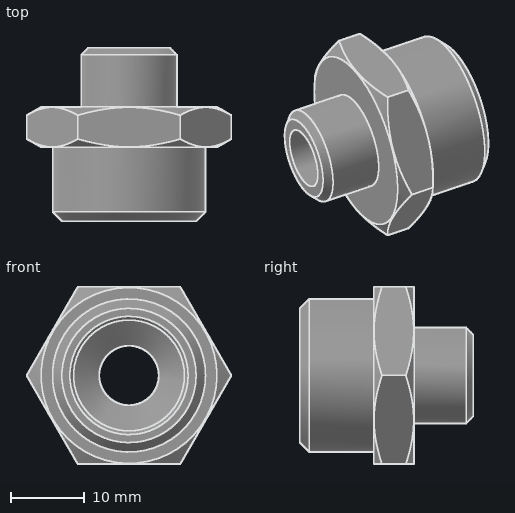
import cadquery as cq
import math

hex_corners = 27.7
hex_flats = hex_corners * math.cos(math.radians(30))
hex_thickness = 5.5
hex_chamfer_angle = 30.0
hex_face_diameter = 23.78

large_diameter = 20.7
large_length = 10.0
large_chamfer = 1.27

small_diameter = 13.0
small_length = 8.0
small_chamfer = 1.0

bore_diameter = 15.0
bore_depth = 12.0
bore_mouth_chamfer = 0.5
through_diameter = 8.0
bore_tip_angle = 118.0

hex_start = large_length
hex_end = hex_start + hex_thickness
total_length = hex_end + small_length


def revolve_about_y(points):
    """Revolve a closed (radius, y) profile around the Y axis."""
    profile = cq.Workplane("XY").polyline(points).close()
    return profile.revolve(360, (0, 0, 0), (0, 1, 0))


def make_hexagon():
    """Hexagon with corners on X and conical chamfers on both faces."""
    prism = (
        cq.Workplane("XZ", origin=(0, hex_end, 0))
        .polygon(6, hex_corners)
        .extrude(hex_thickness)
    )
    face_radius = hex_face_diameter / 2
    corner_radius = hex_corners / 2
    drop = (corner_radius - face_radius) * math.tan(math.radians(hex_chamfer_angle))
    envelope = revolve_about_y([
        (0, hex_start),
        (face_radius, hex_start),
        (corner_radius, hex_start + drop),
        (corner_radius, hex_end - drop),
        (face_radius, hex_end),
        (0, hex_end),
    ])
    return prism.intersect(envelope)


def make_spigots():
    """Both round ends as one stepped, chamfered shaft."""
    large_radius = large_diameter / 2
    small_radius = small_diameter / 2
    return revolve_about_y([
        (0, 0),
        (large_radius - large_chamfer, 0),
        (large_radius, large_chamfer),
        (large_radius, hex_start),
        (small_radius, hex_start),
        (small_radius, total_length - small_chamfer),
        (small_radius - small_chamfer, total_length),
        (0, total_length),
    ])


def make_bore():
    """Chamfered large bore, conical bottom and through hole."""
    bore_radius = bore_diameter / 2
    through_radius = through_diameter / 2
    cone_length = (bore_radius - through_radius) / math.tan(math.radians(bore_tip_angle / 2))
    return revolve_about_y([
        (0, 0),
        (bore_radius + bore_mouth_chamfer, 0),
        (bore_radius, bore_mouth_chamfer),
        (bore_radius, bore_depth),
        (through_radius, bore_depth + cone_length),
        (through_radius, total_length),
        (0, total_length),
    ])


mid_length = total_length / 2
result = make_hexagon().union(make_spigots()).cut(make_bore())
result = result.translate((0, -mid_length, 0))